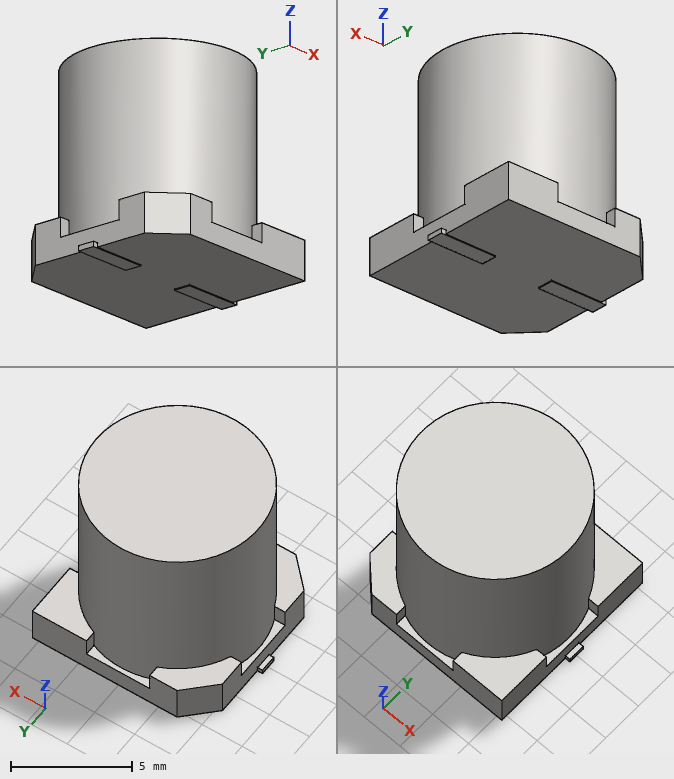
import cadquery as cq

overall_length = 9.09
overall_height = 9.04

base_side = 8.61
base_height = 1.8
corner_chamfer = 1.345
notch_width = 3.16
notch_depth = 0.88

can_diameter = 8.17

lead_length = 3.0
lead_width = 0.82
lead_thickness = 0.24
lead_standoff = 0.045

base_top = lead_standoff + base_height
seat_level = base_top - notch_depth


def make_can():
    """Plain cylinder from the seat in the base up to the overall height."""
    return (
        cq.Workplane("XY", origin=(0, 0, seat_level))
        .circle(can_diameter / 2)
        .extrude(overall_height - seat_level)
    )


def make_lead(side):
    """Flat bar along X; side is -1 or +1 for the end it sticks out of."""
    center_x = side * (overall_length - lead_length) / 2
    return (
        cq.Workplane("XY", origin=(center_x, 0, 0))
        .rect(lead_length, lead_width)
        .extrude(lead_thickness)
    )


def make_base(can, leads):
    """Notched plate with a round seat for the can and a slot for each lead."""
    base = (
        cq.Workplane("XY", origin=(0, 0, lead_standoff))
        .rect(base_side, base_side)
        .extrude(base_height)
        .edges("|Z and <X")
        .chamfer(corner_chamfer)
    )

    channels = cq.Workplane("XY", origin=(0, 0, seat_level))
    base = base.cut(channels.rect(notch_width, base_side).extrude(notch_depth))
    base = base.cut(channels.rect(base_side, notch_width).extrude(notch_depth))

    base = base.cut(can)
    for lead in leads:
        base = base.cut(lead)
    return base


can = make_can()
leads = [make_lead(side) for side in (-1, 1)]
base = make_base(can, leads)

result = cq.Compound.makeCompound([base.val(), can.val(), *[lead.val() for lead in leads]])